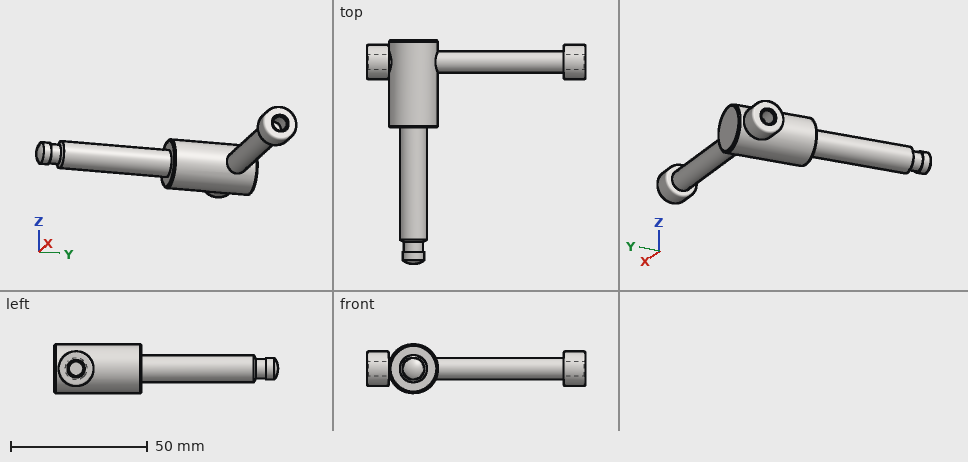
import cadquery as cq
import math


hub_diameter = 18.0
hub_length = 32.0
hub_edge_chamfer = 0.6

shank_diameter = 10.0
shank_length = 50.0
tip_length = 9.0
shoulder_angle = 30.0
groove_diameter = 7.2
collar_diameter = 8.0
collar_length = 4.5
dome_radius = 6.0

bar_diameter = 8.0
bar_length = 80.0
bar_to_hub_end = 8.0
knob_diameter = 12.8
knob_length = 8.0
knob_edge_fillet = 0.8
knob_hole_diameter = 5.33
knob_hole_mouth_diameter = 6.4
knob_hole_depth = knob_length

root_y = -hub_length / 2
crown_y = -(hub_length + shank_length)
bar_start_x = -(hub_diameter / 2 + knob_length)
bar_end_x = bar_start_x + bar_length
bar_y = -bar_to_hub_end


def rod_along_x(diameter, start_x, length):
    """Solid cylinder on the bar axis."""
    plane = cq.Workplane("YZ", origin=(start_x, bar_y, 0))
    return plane.circle(diameter / 2).extrude(length)


def make_hub():
    hub = cq.Workplane("XZ").circle(hub_diameter / 2).extrude(hub_length)
    return hub.edges().chamfer(hub_edge_chamfer)


def make_screw():
    """Shank, sloped shoulder, groove, collar and domed crown, turned about Y."""
    shank_radius = shank_diameter / 2
    groove_radius = groove_diameter / 2
    collar_radius = collar_diameter / 2

    shoulder_y = crown_y + tip_length
    shoulder_drop = (shank_radius - groove_radius) * math.tan(math.radians(shoulder_angle))
    groove_y = shoulder_y - shoulder_drop
    collar_y = crown_y + collar_length
    dome_center_y = crown_y + dome_radius
    dome_y = dome_center_y - math.sqrt(dome_radius**2 - collar_radius**2)
    mid_angle = math.asin(collar_radius / dome_radius) / 2
    dome_middle = (dome_radius * math.sin(mid_angle), dome_center_y - dome_radius * math.cos(mid_angle))

    profile = (
        cq.Workplane("XY")
        .moveTo(0, root_y)
        .lineTo(shank_radius, root_y)
        .lineTo(shank_radius, shoulder_y)
        .lineTo(groove_radius, groove_y)
        .lineTo(groove_radius, collar_y)
        .lineTo(collar_radius, collar_y)
        .lineTo(collar_radius, dome_y)
        .threePointArc(dome_middle, (0, crown_y))
        .close()
    )
    return profile.revolve(360, (0, 0, 0), (0, 1, 0))


def make_knob(start_x):
    return rod_along_x(knob_diameter, start_x, knob_length).edges().fillet(knob_edge_fillet)


def make_knob_hole(face_x, inward):
    """Blind hole with a 45 degree countersunk mouth; inward is +1 or -1 along X."""
    hole_radius = knob_hole_diameter / 2
    mouth_radius = knob_hole_mouth_diameter / 2
    mouth_x = face_x + inward * (mouth_radius - hole_radius)
    bottom_x = face_x + inward * knob_hole_depth
    profile = cq.Workplane("XY", origin=(0, bar_y, 0)).polyline(
        [
            (face_x, 0),
            (face_x, mouth_radius),
            (mouth_x, hole_radius),
            (bottom_x, hole_radius),
            (bottom_x, 0),
        ]
    )
    return profile.close().revolve(360, (0, 0, 0), (1, 0, 0))


def make_tommy_bar():
    bar = rod_along_x(bar_diameter, bar_start_x + knob_length / 2, bar_length - knob_length)
    for knob_start_x in (bar_start_x, bar_end_x - knob_length):
        bar = bar.union(make_knob(knob_start_x))
    for face_x, inward in ((bar_start_x, 1), (bar_end_x, -1)):
        bar = bar.cut(make_knob_hole(face_x, inward))
    return bar


result = make_hub().union(make_screw()).union(make_tommy_bar())